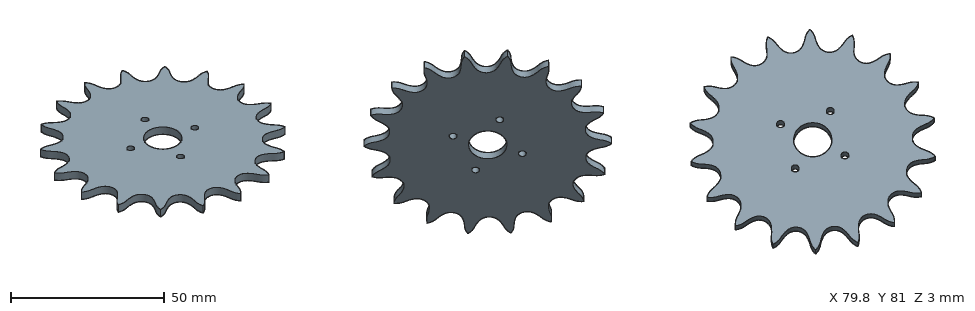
import cadquery as cq
import math


tooth_count = 18
outer_radius = 40.5
pitch_radius = 36.6
roller_diameter = 7.95
thickness = 3.0
bore_diameter = 12.5
bolt_circle_radius = 12.0
bolt_hole_diameter = 2.5
bolt_hole_count = 4

flank_center_ratio = 0.8
tip_center_ratio = 1.4

tooth_angle = 2 * math.pi / tooth_count
half_tooth_angle = tooth_angle / 2
seat_angle = math.radians(35 + 60 / tooth_count)
flank_angle = math.radians(18 - 56 / tooth_count)
face_angle = seat_angle - flank_angle


def offset(point, distance, angle):
    return (point[0] + distance * math.cos(angle), point[1] + distance * math.sin(angle))


def rotate(point, angle):
    return offset((0, 0), math.hypot(*point), math.atan2(point[1], point[0]) + angle)


def mirror(point):
    return (-point[0], point[1])


roller_center = (0, pitch_radius)
flank_center = offset(roller_center, flank_center_ratio * roller_diameter, seat_angle)
tip_center = offset(roller_center, tip_center_ratio * roller_diameter, math.pi + half_tooth_angle)
tip_point = rotate((0, outer_radius), half_tooth_angle)

tip_radius = math.dist(tip_center, tip_point)
center_spacing = (
    (flank_center[0] - tip_center[0]) * math.cos(face_angle)
    + (flank_center[1] - tip_center[1]) * math.sin(face_angle)
)
flank_radius = center_spacing - tip_radius
seat_radius = flank_radius - flank_center_ratio * roller_diameter

tip_end_angle = math.atan2(tip_point[1] - tip_center[1], tip_point[0] - tip_center[0])
tip_mid = offset(tip_center, tip_radius, (tip_end_angle + face_angle) / 2)
face_top = offset(tip_center, tip_radius, face_angle)
face_bottom = offset(flank_center, flank_radius, math.pi + face_angle)
flank_mid = offset(flank_center, flank_radius, math.pi + seat_angle - flank_angle / 2)
seat_start = offset(roller_center, seat_radius, math.pi + seat_angle)
gap_bottom = (0, pitch_radius - seat_radius)


def add_gap(outline, angle):
    """Continue the outline from one tooth tip, through a gap, to the next tip clockwise."""

    def place(point):
        return rotate(point, angle)

    return (
        outline.threePointArc(place(tip_mid), place(face_top))
        .lineTo(*place(face_bottom))
        .threePointArc(place(flank_mid), place(seat_start))
        .threePointArc(place(gap_bottom), place(mirror(seat_start)))
        .threePointArc(place(mirror(flank_mid)), place(mirror(face_bottom)))
        .lineTo(*place(mirror(face_top)))
        .threePointArc(place(mirror(tip_mid)), place(mirror(tip_point)))
    )


outline = cq.Workplane("XY").moveTo(0, outer_radius)
for gap in range(tooth_count):
    outline = add_gap(outline, -half_tooth_angle - gap * tooth_angle)
plate = outline.close().extrude(thickness)

bore = cq.Workplane("XY").circle(bore_diameter / 2).extrude(thickness)
bolt_holes = (
    cq.Workplane("XY")
    .polarArray(bolt_circle_radius, 0, 360, bolt_hole_count)
    .circle(bolt_hole_diameter / 2)
    .extrude(thickness)
)

result = plate.cut(bore).cut(bolt_holes)